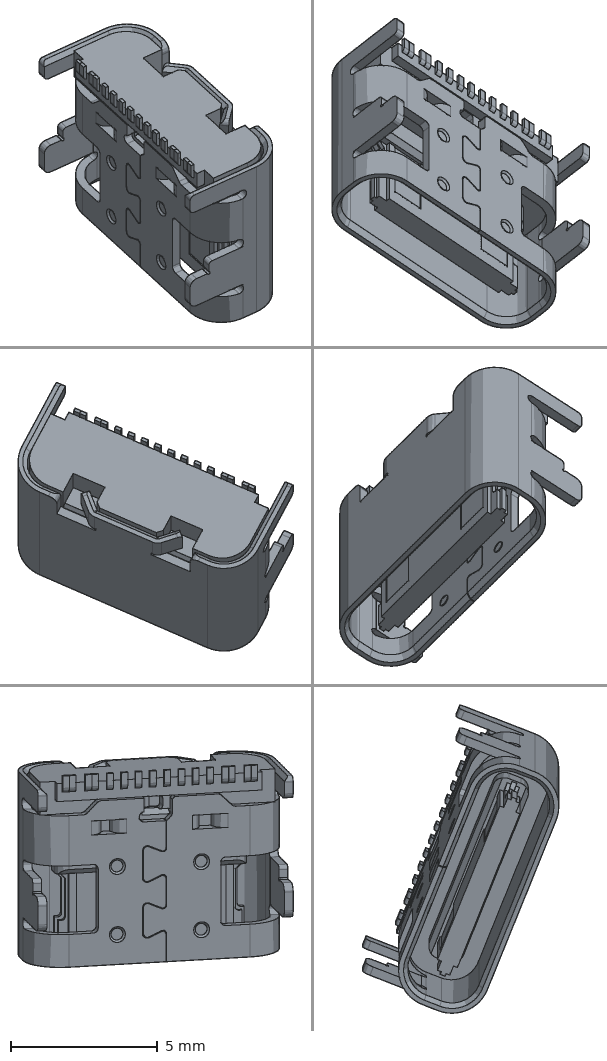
import cadquery as cq
import math


WIDTH = 8.94
DEPTH = 3.16
SHELL_TOP = 6.47
SHEET = 0.31
CORNER_R = 1.3
LEAD_IN = 0.15
MOUTH_FLARE = 0.14
MOUTH_HEIGHT = 0.24
SIDE = WIDTH / 2
BACK = 1.58
FRONT = BACK - DEPTH
INNER_R = CORNER_R - SHEET
INNER_SIDE = SIDE - SHEET
INNER_BACK = BACK - SHEET
INNER_FRONT = FRONT + SHEET
FAR = 2 * WIDTH
EDGE = 0.01

SHOULDER_TOP = 5.32
SHOULDER_X = 2.59
CREST_TOP = 5.78
CREST_X = 2.12
CREST_ROUND = 0.22
OPENING_X = 2.15
OPENING_BOTTOM = 1.15
OPENING_TOP = 3.56
OPENING_R = 0.18
WINDOWS = ((-2.39, 0.44), (1.16, 0.32))
WINDOW_WIDTH = 1.23
WINDOW_RIGHT_ROUND = 0.49
WINDOW_BOTTOM = 4.595
WINDOW_TOP = 5.09
WINDOW_DEPTH = 0.45
WINDOW_ROUND_R = 0.5
DIMPLE_X = 1.475
DIMPLE_ZS = (1.055, 3.44)
DIMPLE_R = 0.28
DIMPLE_FLOOR_R = 0.21
DIMPLE_DEPTH = 0.07
BUMP_HEIGHT = 0.04

SEAM_X = 0.25
SEAM_DEEP_X = -0.56
SEAM_GAP = 0.03
SEAM_R = 0.13
TAIL_SPREAD = 0.36
TAIL_NECKS = ((1.18, 1.8), (3.14, 3.8))

LEG_REACH = 4.06
LEG_FRONT = BACK - LEG_REACH
LEG_STEP = -1.7
TOP_LEG_BOTTOM = 5.7
TOP_LEG_R = 0.18
LOW_LEG_BOTTOM = 1.5
LOW_LEG_TOP = 2.7
LOW_LEG_SHOULDER = 3.18
LOW_LEG_R = 0.27
LEG_STEP_R = 0.14
RELIEF_R = 0.05
TOP_SLOT_END = -0.125
LOW_SLOT_END = -0.25

NOTCH_X = 2.52
NOTCH_R = 0.31
NOTCH_FLOOR = 5.36
TAB_TOP = 6.4
WING_BOTTOM = 5.47
WING_TIP_R = 0.18
WING_BEND_X = 1.27
WING_REACH = 0.88
WING_OUTER_R = 0.4
WING_INNER_R = 0.09

GAP = 0.04
BODY_SIDE = INNER_SIDE - GAP
BODY_BACK = INNER_BACK - GAP
BODY_BOTTOM = 3.93
BODY_R = 0.98
CAP_R = 1.07
BLOCK_X = 3.59
BLOCK_BOTTOM = 5.84
POCKET_IN_X = 1.25
POCKET_OUT_X = 2.45
POCKET_FRONT = 0.45
POCKET_CHAMFER = 0.13
CORNER_CHAMFER = 0.18

KEY_LEFT = -0.54
KEY_RIGHT = 0.45
KEY_BOTTOM = 4.95
KEY_FLARE = 0.09
KEY_FOOT_R = 0.13
RAMP_FRONT_Z = 5.11
RAMP_BACK_Z = 5.26
RAMP_CEILING = 5.3
KEY_SLOT_R = (RAMP_CEILING - KEY_BOTTOM) / 2
RAMP_LENGTH = 0.375
RECESS_RIGHT = 0.19
RECESS_ARC = 0.36
RECESS_DEPTH = 0.45
RECESS_R = 0.12

BASE_X = 3.35
BASE_Y = 0.63
BASE_R = 0.41
BASE_BOTTOM = 3.0
BASE_CHAMFER = 0.19
TONGUE_Y = 0.37
TONGUE_X = 2.88
TONGUE_TIP = 0.26
FLANGE_Y = 0.22
FLANGE_WAIST_X = 2.98
FLANGE_TIP_X = 3.22
FLANGE_SHELF = 1.32
FLANGE_SLOPE = 0.22
FLANGE_R = 0.13
PLATE_Y = 0.09
PLATE_PROUD = 0.1
PANEL_OUT_X = 2.62
PANEL_IN_X = 1.41
PANEL_BOTTOM = 0.8
PANEL_DEPTH = 0.045

PITCH = 0.5
LEAD_WIDTH = 0.22
LEAD_THICK = 0.12
LEAD_BOTTOM = 6.15
LEAD_TOP = 6.75
LEAD_BEND_R = 0.17
PAIR_OFFSET = 0.12
SINGLE_POSITIONS = (0.5, 1.5, 2.5, 3.5)
PAIR_CENTRES = (2.4, 3.18)


def box(x0, x1, y0, y1, z0, z1):
    """Box between opposite corner coordinates."""
    return cq.Workplane("XY").box(x1 - x0, y1 - y0, z1 - z0, centered=False).translate((x0, y0, z0))


def both_sides(solid):
    """The solid together with its mirror image across X = 0."""
    return solid.union(solid.mirror("YZ"))


def front_plane(y):
    """XZ sketch plane at depth y; extrusion runs towards the back."""
    return cq.Workplane(cq.Plane((0, y, 0), (1, 0, 0), (0, 1, 0)))


def facing(points):
    """XZ points as plane coordinates of front_plane, whose second axis points down."""
    return [(x, -z) for x, z in points]


def front_prism(points, y0, y1):
    """Prism with an XZ outline, from depth y0 back to y1."""
    return front_plane(y0).polyline(facing(points)).close().extrude(y1 - y0)


def side_prism(points):
    """Plate as thick as the sheet at the +X wall, with a YZ outline."""
    return cq.Workplane("YZ", origin=(INNER_SIDE, 0, 0)).polyline(points).close().extrude(SHEET)


def inside_box(first, second):
    """Selector for the edges centred inside a box between two opposite corners."""
    return cq.selectors.BoxSelector(first, second)



def tube():
    """Rounded tube open at both ends, with its bore flared at the bottom."""
    outer = box(-SIDE, SIDE, FRONT, BACK, 0, SHELL_TOP).edges("|Z").fillet(CORNER_R)
    bore = box(-INNER_SIDE, INNER_SIDE, INNER_FRONT, INNER_BACK, 0, SHELL_TOP)
    mouth_side = INNER_SIDE + MOUTH_FLARE
    mouth = cq.Workplane("XY", origin=(0, (FRONT + BACK) / 2, 0)).sketch()
    mouth = mouth.rect(2 * mouth_side, DEPTH - 2 * (SHEET - MOUTH_FLARE))
    mouth = mouth.vertices().fillet(INNER_R + MOUTH_FLARE).finalize()
    taper = math.degrees(math.atan(MOUTH_FLARE / MOUTH_HEIGHT))
    flare = mouth.extrude(MOUTH_HEIGHT, taper=taper)
    return outer.cut(bore.edges("|Z").fillet(INNER_R)).cut(flare)


def front_wall_top():
    """Cutter for the front wall above its stepped crest, together with the front corners there."""
    outline = [
        (-FAR, SHOULDER_TOP), (-SHOULDER_X, SHOULDER_TOP), (-CREST_X, CREST_TOP),
        (CREST_X, CREST_TOP), (SHOULDER_X, SHOULDER_TOP), (FAR, SHOULDER_TOP), (FAR, FAR), (-FAR, FAR),
    ]
    end = TOP_SLOT_END - (TOP_LEG_BOTTOM - SHOULDER_TOP) / 2
    cutter = front_prism(outline, -FAR, end)
    bends = inside_box((-SHOULDER_X - EDGE, -FAR, 0), (SHOULDER_X + EDGE, FAR, SHELL_TOP))
    return cutter.edges("|Y").edges(bends).fillet(CREST_ROUND)


def side_openings():
    """Openings in the front wall that run round the corners to the lower legs."""
    end = LOW_SLOT_END - (OPENING_TOP - LOW_LEG_SHOULDER) / 2
    opening = box(OPENING_X, FAR, -FAR, end, OPENING_BOTTOM, OPENING_TOP)
    return both_sides(opening.edges("|Y and <X").fillet(OPENING_R))


def top_leg():
    """Upper leg at the +X side."""
    leg = box(INNER_SIDE, SIDE, LEG_FRONT, TOP_SLOT_END, TOP_LEG_BOTTOM, SHELL_TOP)
    return leg.edges("|X and <Y").fillet(TOP_LEG_R)


def low_leg():
    """Lower leg at the +X side, stepped, with a small round relief in the step."""
    root = 0
    outline = [
        (root, LOW_LEG_BOTTOM), (LEG_FRONT, LOW_LEG_BOTTOM), (LEG_FRONT, LOW_LEG_TOP),
        (LEG_STEP, LOW_LEG_TOP), (LEG_STEP, LOW_LEG_SHOULDER), (root, LOW_LEG_SHOULDER),
    ]
    leg = side_prism(outline)
    leg = leg.edges("|X and <Y").fillet(LOW_LEG_R)
    step = inside_box((0, LEG_STEP - EDGE, LOW_LEG_SHOULDER - EDGE), (SIDE, LEG_STEP + EDGE, SHELL_TOP))
    leg = leg.edges("|X").edges(step).fillet(LEG_STEP_R)
    relief = cq.Workplane("YZ").center(LEG_STEP, LOW_LEG_TOP).circle(RELIEF_R).extrude(FAR)
    return leg.cut(relief)


def leg_slot(end, bottom, top):
    """Slot in the side wall, with a round end towards the back."""
    radius = (top - bottom) / 2
    middle = (top + bottom) / 2
    slot = box(INNER_SIDE - GAP, FAR, LEG_FRONT, end - radius, bottom, top)
    tip = cq.Workplane("YZ", origin=(INNER_SIDE - GAP, 0, 0)).center(end - radius, middle)
    return slot.union(tip.circle(radius).extrude(FAR))


def back_notch():
    """Notch in the back wall, flaring out to the rim in two rounds."""
    bend = NOTCH_R * (1 - math.sqrt(0.5))
    rim = SHELL_TOP
    outline = (
        front_plane(0)
        .moveTo(-NOTCH_X, -NOTCH_FLOOR)
        .lineTo(-NOTCH_X, NOTCH_R - rim)
        .threePointArc((-NOTCH_X - bend, bend - rim), (-NOTCH_X - NOTCH_R, -rim))
        .lineTo(NOTCH_X + NOTCH_R, -rim)
        .threePointArc((NOTCH_X + bend, bend - rim), (NOTCH_X, NOTCH_R - rim))
        .lineTo(NOTCH_X, -NOTCH_FLOOR)
        .close()
    )
    return outline.extrude(FAR)


def rim_lead_in():
    """Cutter that widens the inside of the rim at 45 degrees, open to the front."""
    mouth = box(-INNER_SIDE, INNER_SIDE, -WIDTH, INNER_BACK, 0, SHELL_TOP)
    mouth = mouth.edges("|Z and >Y").fillet(INNER_R)
    outline = mouth.faces("<Z").wires().val().translate(cq.Vector(0, 0, SHELL_TOP - LEAD_IN))
    return cq.Workplane("XY").add(outline).toPending().extrude(LEAD_IN, taper=-45)


def latch_tab():
    """Flat tab standing on the notch floor, with two wings bent inwards at 45 degrees."""
    inner_bend_x = WING_BEND_X - SHEET * (math.sqrt(2) - 1)
    run = WING_REACH - SHEET
    tip_inner = (inner_bend_x + run, INNER_BACK - run)
    tip_shift = SHEET * math.sqrt(0.5)
    tip_outer = (tip_inner[0] + tip_shift, tip_inner[1] + tip_shift)
    half = [(WING_BEND_X, BACK), tip_outer, tip_inner, (inner_bend_x, INNER_BACK)]
    other_half = [(-x, y) for x, y in reversed(half)]
    tab = cq.Workplane("XY", origin=(0, 0, WING_BOTTOM)).polyline(half + other_half).close()
    tab = tab.extrude(TAB_TOP - WING_BOTTOM)
    tip_x = (tip_outer[0] + tip_inner[0]) / 2
    tip_y = (tip_outer[1] + tip_inner[1]) / 2
    for x in (tip_x, -tip_x):
        tip_edge = cq.selectors.NearestToPointSelector((x, tip_y, TAB_TOP))
        tab = tab.edges(tip_edge).fillet(WING_TIP_R)
    tab = tab.edges("|Z and >Y").fillet(WING_OUTER_R)
    elbow_x = inner_bend_x + EDGE
    elbows = inside_box((-elbow_x, INNER_BACK - EDGE, 0), (elbow_x, INNER_BACK + EDGE, FAR))
    tab = tab.edges("|Z").edges(elbows).fillet(WING_INNER_R)
    far_run = FAR - inner_bend_x
    inside = [
        (inner_bend_x, INNER_BACK), (FAR, INNER_BACK - far_run),
        (-FAR, INNER_BACK - far_run), (-inner_bend_x, INNER_BACK),
    ]
    lead_in = cq.Workplane("XY", origin=(0, 0, TAB_TOP - LEAD_IN)).polyline(inside).close()
    tab = tab.cut(lead_in.extrude(LEAD_IN, taper=-45))
    flat_x = inner_bend_x - WING_INNER_R
    return tab.union(box(-flat_x, flat_x, INNER_BACK, BACK, NOTCH_FLOOR, WING_BOTTOM))


def seam():
    """Thin gap along the dovetailed joint of the front wall."""
    path = [(SEAM_X, -FAR)]
    for bottom, top in TAIL_NECKS:
        path += [
            (SEAM_X, bottom), (SEAM_DEEP_X, bottom - TAIL_SPREAD),
            (SEAM_DEEP_X, top + TAIL_SPREAD), (SEAM_X, top),
        ]
    region = front_prism(path + [(SEAM_X, FAR), (FAR, FAR), (FAR, -FAR)], FRONT, INNER_FRONT)
    bends = inside_box((SEAM_DEEP_X - EDGE, -FAR, 0), (SEAM_X + EDGE, FAR, SHELL_TOP))
    region = region.edges("|Y").edges(bends).fillet(SEAM_R)
    wider = region.faces("<Y").wires().val().offset2D(SEAM_GAP)[0]
    return cq.Workplane("XY").add(cq.Solid.extrudeLinear(wider, [], cq.Vector(0, SHEET, 0))).cut(region)


def key_opening():
    """Opening at the top of the seam, with a round-ended slot to the left at its foot."""
    flare = KEY_RIGHT - SEAM_X
    outline = [
        (KEY_LEFT, KEY_BOTTOM), (SEAM_X, KEY_BOTTOM), (KEY_RIGHT, KEY_BOTTOM + flare),
        (KEY_RIGHT, CREST_TOP - KEY_FLARE), (KEY_RIGHT + KEY_FLARE, CREST_TOP), (KEY_LEFT, CREST_TOP),
    ]
    slot = front_plane(FRONT).center(KEY_LEFT, -KEY_BOTTOM - KEY_SLOT_R).circle(KEY_SLOT_R)
    opening = front_prism(outline, FRONT, INNER_FRONT)
    foot = inside_box((KEY_RIGHT - EDGE, -FAR, 0), (KEY_RIGHT + EDGE, FAR, KEY_BOTTOM + flare + EDGE))
    return opening.edges("|Y").edges(foot).fillet(KEY_FOOT_R).union(slot.extrude(SHEET))


def dimple_places():
    return [(x, -z) for x in (-DIMPLE_X, DIMPLE_X) for z in DIMPLE_ZS]


def dimples():
    """Shallow tapered round dents in the front wall."""
    taper = math.degrees(math.atan((DIMPLE_R - DIMPLE_FLOOR_R) / DIMPLE_DEPTH))
    dents = front_plane(FRONT).pushPoints(dimple_places()).circle(DIMPLE_R)
    return dents.extrude(DIMPLE_DEPTH, taper=taper)


def dimple_bumps():
    """Low round bumps behind the dimples."""
    return front_plane(INNER_FRONT).pushPoints(dimple_places()).circle(DIMPLE_FLOOR_R).extrude(BUMP_HEIGHT)


def make_shell():
    shell = tube().cut(front_wall_top()).cut(side_openings())
    shell = shell.union(both_sides(top_leg().union(low_leg())))
    shell = shell.cut(both_sides(leg_slot(TOP_SLOT_END, SHOULDER_TOP, TOP_LEG_BOTTOM)))
    shell = shell.cut(both_sides(leg_slot(LOW_SLOT_END, LOW_LEG_SHOULDER, OPENING_TOP)))
    shell = shell.cut(both_sides(leg_slot(LOW_SLOT_END, OPENING_BOTTOM, LOW_LEG_BOTTOM)))
    shell = shell.cut(rim_lead_in()).cut(back_notch()).union(latch_tab())
    return shell.cut(seam()).cut(key_opening()).cut(dimples()).union(dimple_bumps())



def latch_pocket():
    """Pocket in the back of the insulator that clears one wing of the latch tab."""
    pocket = box(POCKET_IN_X, POCKET_OUT_X, POCKET_FRONT, BODY_BACK, NOTCH_FLOOR, SHELL_TOP)
    floor_edge = cq.Workplane("YZ", origin=(POCKET_IN_X, 0, 0)).polyline([
        (BODY_BACK, NOTCH_FLOOR), (BODY_BACK - POCKET_CHAMFER, NOTCH_FLOOR),
        (BODY_BACK, NOTCH_FLOOR - POCKET_CHAMFER),
    ]).close().extrude(POCKET_OUT_X - POCKET_IN_X)
    corner = cq.Workplane("XY", origin=(0, 0, NOTCH_FLOOR)).polyline([
        (POCKET_IN_X, BODY_BACK), (POCKET_IN_X - CORNER_CHAMFER, BODY_BACK),
        (POCKET_IN_X, BODY_BACK - CORNER_CHAMFER),
    ]).close().extrude(SHELL_TOP - NOTCH_FLOOR)
    return pocket.union(floor_edge).union(corner)


def key_recess():
    """Recess in the insulator behind the key opening: hollow on the left, flat on the right."""
    floor = INNER_FRONT + RECESS_DEPTH
    recess = (
        cq.Workplane("XY", origin=(0, 0, RAMP_CEILING))
        .moveTo(KEY_LEFT, INNER_FRONT)
        .radiusArc((KEY_LEFT + RECESS_ARC, floor), RECESS_DEPTH + RECESS_ARC)
        .lineTo(RECESS_RIGHT, floor)
        .lineTo(RECESS_RIGHT, INNER_FRONT)
        .close()
        .extrude(CREST_TOP - RAMP_CEILING)
    )
    return recess.edges("|Y and >X").fillet(RECESS_R)


def key_ramp():
    """Channel at the foot of the key recess, whose floor rises towards the back."""
    outline = [
        (INNER_FRONT, RAMP_FRONT_Z), (INNER_FRONT + RAMP_LENGTH, RAMP_BACK_Z),
        (INNER_FRONT + RAMP_LENGTH, RAMP_CEILING), (INNER_FRONT, RAMP_CEILING),
    ]
    ramp = cq.Workplane("YZ", origin=(KEY_LEFT, 0, 0)).polyline(outline).close()
    return ramp.extrude(KEY_RIGHT - KEY_LEFT)


def make_insulator():
    plug = box(-BODY_SIDE, BODY_SIDE, INNER_FRONT, BODY_BACK, BODY_BOTTOM, SHOULDER_TOP)
    plug = plug.edges("|Z").fillet(BODY_R)
    cap = box(-BODY_SIDE, BODY_SIDE, INNER_FRONT, BODY_BACK, SHOULDER_TOP, SHELL_TOP)
    cap = cap.edges("|Z and >Y").fillet(CAP_R)
    block = box(-BLOCK_X, BLOCK_X, FRONT, INNER_FRONT, BLOCK_BOTTOM, SHELL_TOP)
    body = plug.union(cap).union(block).cut(both_sides(latch_pocket()))
    return body.cut(key_recess()).cut(key_ramp())



def waisted_slab(outset, half_y):
    """Slab that is narrow along the waist and wide at the tip, widened by an outset."""
    waist = FLANGE_WAIST_X + outset
    wide = FLANGE_TIP_X + outset
    shelf = FLANGE_SHELF + outset
    right = [
        (wide, TONGUE_TIP), (wide, shelf), (waist, shelf), (waist, BASE_BOTTOM - FLANGE_SLOPE),
        (waist + FLANGE_SLOPE, BASE_BOTTOM), (waist + FLANGE_SLOPE, BODY_BOTTOM),
    ]
    left = [(-x, z) for x, z in reversed(right)]
    slab = front_prism(right + left, -half_y, half_y)
    nooks = inside_box((-waist - EDGE, -FAR, shelf - EDGE), (waist + EDGE, FAR, shelf + EDGE))
    return slab.edges("|Y").edges(nooks).fillet(FLANGE_R)


def tongue_base():
    base = box(-BASE_X, BASE_X, -BASE_Y, BASE_Y, BASE_BOTTOM, BODY_BOTTOM)
    sloped = base.edges("|X and <Z").chamfer(BASE_CHAMFER)
    return base.edges("|Z").fillet(BASE_R).intersect(sloped)


def make_tongue():
    core = box(-TONGUE_X, TONGUE_X, -TONGUE_Y, TONGUE_Y, TONGUE_TIP, BODY_BOTTOM)
    panel_y = TONGUE_Y - PANEL_DEPTH
    panels = box(PANEL_IN_X, PANEL_OUT_X, -TONGUE_Y, TONGUE_Y, PANEL_BOTTOM, BASE_BOTTOM)
    panels = panels.cut(box(PANEL_IN_X, PANEL_OUT_X, -panel_y, panel_y, PANEL_BOTTOM, BASE_BOTTOM))
    tongue = core.cut(both_sides(panels)).union(waisted_slab(0, FLANGE_Y))
    return tongue.union(waisted_slab(PLATE_PROUD, PLATE_Y)).union(tongue_base())



def lead(x):
    """Lead that bends out of the front block and rises past its top."""
    left = x - LEAD_WIDTH / 2
    right = x + LEAD_WIDTH / 2
    face = FRONT - LEAD_THICK
    foot = box(left, right, face, FRONT + LEAD_THICK, LEAD_BOTTOM, SHELL_TOP)
    foot = foot.edges("|X and <Y and <Z").fillet(LEAD_BEND_R)
    return foot.union(box(left, right, face, FRONT, LEAD_BOTTOM + LEAD_BEND_R, LEAD_TOP))


def make_leads():
    places = [PITCH * step for step in SINGLE_POSITIONS]
    for centre in PAIR_CENTRES:
        places += [centre - PAIR_OFFSET, centre + PAIR_OFFSET]
    leads = lead(places[0])
    for x in places[1:]:
        leads = leads.union(lead(x))
    return both_sides(leads)



def front_window(left, left_round):
    """Window in the front whose flat floor curves out to the wall on both sides."""
    floor = FRONT + WINDOW_DEPTH
    right = left + WINDOW_WIDTH
    return (
        cq.Workplane("XY", origin=(0, 0, WINDOW_BOTTOM))
        .moveTo(left, FRONT)
        .radiusArc((left + left_round, floor), -WINDOW_ROUND_R)
        .lineTo(right - WINDOW_RIGHT_ROUND, floor)
        .radiusArc((right, FRONT), -WINDOW_ROUND_R)
        .close()
        .extrude(WINDOW_TOP - WINDOW_BOTTOM)
    )


result = make_shell().union(make_insulator()).union(make_tongue()).union(make_leads())
for window in WINDOWS:
    result = result.cut(front_window(*window))